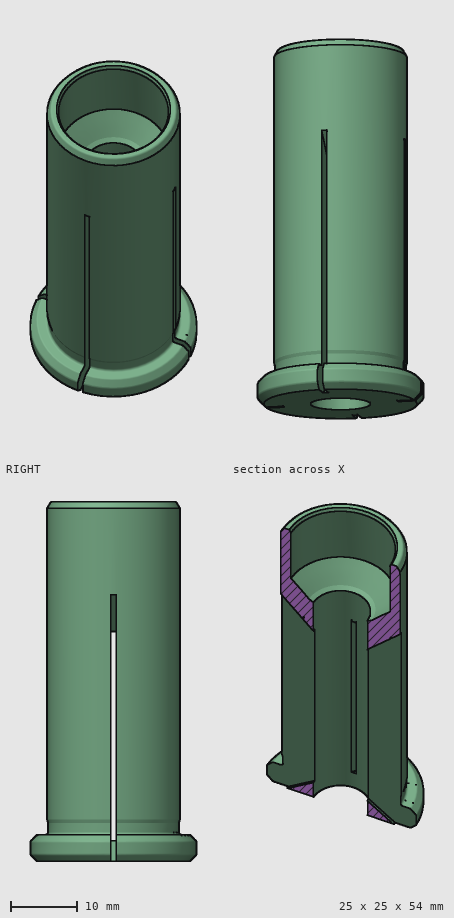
import cadquery as cq
import math

total_length = 54.0
flange_radius = 12.5
flange_height = 4.0
body_radius = 10.0
groove_radius = 9.85

flange_chamfer = 1.0
flange_edge_round = 0.4

groove_root_radius = 0.4
groove_top = 6.3
groove_taper_height = 0.5

lead_in_height = 1.0
lead_in_angle = 30.0
lead_in_round = 0.4
bore_chamfer_height = 0.5
bore_chamfer_angle = 30.0

bore_radius = 8.25
throat_radius = 5.25
through_radius = 4.5
seat_top = 44.0
seat_half_angle = 45.0
throat_half_angle = 60.0

slot_width = 0.8
slot_top = 40.0
slot_floor_angle = 55.0
slot_end_angle = 45.0
slot_floor_height = 3.1
slot_count = 4


def cone_height(outer, inner, half_angle):
    """Axial length of a cone between two radii, half angle taken from the axis."""
    return (outer - inner) / math.tan(math.radians(half_angle))


def make_flange():
    """Disc chamfered at both ends, with a sharp edge left only at the bottom."""
    flange = cq.Workplane("XY").circle(flange_radius).extrude(flange_height)
    flange = flange.faces("<Z or >Z").chamfer(flange_chamfer)
    flange = flange.edges(cq.selectors.RadiusNthSelector(-1)).fillet(flange_edge_round)
    return flange.faces(">Z").edges().fillet(flange_edge_round)


def make_outer_sleeve():
    """Solid body above the flange, with the relief groove and the tapered lead-in."""
    lead_in_width = lead_in_height * math.tan(math.radians(lead_in_angle))
    tip_radius = body_radius - lead_in_width
    profile = (
        cq.Workplane("XZ")
        .moveTo(0, flange_height)
        .lineTo(groove_radius + groove_root_radius, flange_height)
        .radiusArc((groove_radius, flange_height + groove_root_radius), groove_root_radius)
        .lineTo(groove_radius, groove_top - groove_taper_height)
        .lineTo(body_radius, groove_top)
        .lineTo(body_radius, total_length - lead_in_height)
        .lineTo(tip_radius, total_length)
        .lineTo(0, total_length)
        .close()
    )
    sleeve = profile.revolve(360, (0, 0, 0), (0, 1, 0))
    return sleeve.faces(">Z").edges().fillet(lead_in_round)


def make_bore():
    """Cutter for the whole bore: through hole, throat cone, seat cone and wide upper bore."""
    bore_chamfer_width = bore_chamfer_height * math.tan(math.radians(bore_chamfer_angle))
    throat_top = seat_top - cone_height(bore_radius, throat_radius, seat_half_angle)
    throat_bottom = throat_top - cone_height(throat_radius, through_radius, throat_half_angle)
    points = [
        (0, 0),
        (through_radius, 0),
        (through_radius, throat_bottom),
        (throat_radius, throat_top),
        (bore_radius, seat_top),
        (bore_radius, total_length - bore_chamfer_height),
        (bore_radius + bore_chamfer_width, total_length),
        (0, total_length),
    ]
    return cq.Workplane("XZ").polyline(points).close().revolve(360, (0, 0, 0), (0, 1, 0))


def make_slot():
    """One radial slot on +X; its lower floor and its upper end slope through the wall."""
    slot_end_tangent = math.tan(math.radians(slot_end_angle))
    slot_floor_radius = through_radius + slot_floor_height * math.tan(math.radians(slot_floor_angle))
    points = [
        (0, slot_floor_height),
        (through_radius, slot_floor_height),
        (slot_floor_radius, 0),
        (flange_radius, 0),
        (flange_radius, slot_top + (flange_radius - body_radius) / slot_end_tangent),
        (0, slot_top - body_radius / slot_end_tangent),
    ]
    return cq.Workplane("XZ").polyline(points).close().extrude(slot_width / 2, both=True)


result = make_flange().union(make_outer_sleeve()).cut(make_bore())
for index in range(slot_count):
    slot = make_slot().rotate((0, 0, 0), (0, 0, 1), index * 360 / slot_count)
    result = result.cut(slot)